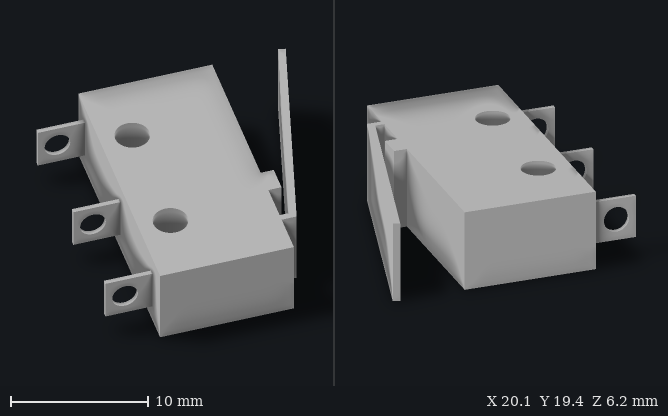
import cadquery as cq
import math

BODY_LENGTH = 20.0
BODY_DEPTH = 10.2
BODY_HEIGHT = 6.2
MID_HEIGHT = BODY_HEIGHT / 2

MOUNT_HOLE_DIAMETER = 2.6
MOUNT_HOLE_SPACING = 9.35
MOUNT_HOLE_Y = 2.45

TERMINAL_CENTERS_X = (1.45, 10.15, 18.0)
TERMINAL_THICKNESS = 0.35
TERMINAL_LENGTH = 3.6
TERMINAL_WIDTH = 3.3
TERMINAL_HOLE_DIAMETER = 1.95
TERMINAL_HOLE_REACH = 2.1

PLUNGER_CENTER_X = 12.8
PLUNGER_LENGTH = 1.9
PLUNGER_RISE = 1.0

POST_OUTER_X = 17.0
POST_THICKNESS = 0.5
ARM_THICKNESS = 0.55
BEND_RISE = 1.14
TIP_RISE = 5.6


def make_housing():
    housing = cq.Workplane("XY").box(BODY_LENGTH, BODY_DEPTH, BODY_HEIGHT, centered=False)
    left_hole_x = (BODY_LENGTH - MOUNT_HOLE_SPACING) / 2
    hole_centers = [
        (left_hole_x, MOUNT_HOLE_Y),
        (left_hole_x + MOUNT_HOLE_SPACING, MOUNT_HOLE_Y),
    ]
    holes = (
        cq.Workplane("XY")
        .pushPoints(hole_centers)
        .circle(MOUNT_HOLE_DIAMETER / 2)
        .extrude(BODY_HEIGHT)
    )
    return housing.cut(holes)


def make_terminal(center_x):
    """Flat tab standing out of the -Y face, with a wire hole along X."""
    blade = (
        cq.Workplane("YZ", origin=(center_x, 0, MID_HEIGHT))
        .center(-TERMINAL_LENGTH / 2, 0)
        .rect(TERMINAL_LENGTH, TERMINAL_WIDTH)
        .extrude(TERMINAL_THICKNESS / 2, both=True)
    )
    wire_hole = (
        cq.Workplane("YZ", origin=(center_x, -TERMINAL_HOLE_REACH, MID_HEIGHT))
        .circle(TERMINAL_HOLE_DIAMETER / 2)
        .extrude(TERMINAL_THICKNESS, both=True)
    )
    return blade.cut(wire_hole)


def make_plunger():
    return (
        cq.Workplane("XY", origin=(PLUNGER_CENTER_X, BODY_DEPTH + PLUNGER_RISE / 2, MID_HEIGHT))
        .box(PLUNGER_LENGTH, PLUNGER_RISE, BODY_HEIGHT)
    )


def make_lever():
    """Lever profile in XY; the upper edge of the arm ends flush with the housing end at X = 0."""
    slope = math.atan2(TIP_RISE - BEND_RISE, POST_OUTER_X)
    post_inner_x = POST_OUTER_X - POST_THICKNESS
    tip_y = BODY_DEPTH + TIP_RISE
    inner_bend_y = tip_y - post_inner_x * math.tan(slope) - ARM_THICKNESS / math.cos(slope)
    profile = [
        (POST_OUTER_X, BODY_DEPTH),
        (POST_OUTER_X, BODY_DEPTH + BEND_RISE),
        (0, tip_y),
        (-ARM_THICKNESS * math.sin(slope), tip_y - ARM_THICKNESS * math.cos(slope)),
        (post_inner_x, inner_bend_y),
        (post_inner_x, BODY_DEPTH),
    ]
    return cq.Workplane("XY").polyline(profile).close().extrude(BODY_HEIGHT)


result = make_housing().union(make_plunger()).union(make_lever())
for terminal_x in TERMINAL_CENTERS_X:
    result = result.union(make_terminal(terminal_x))